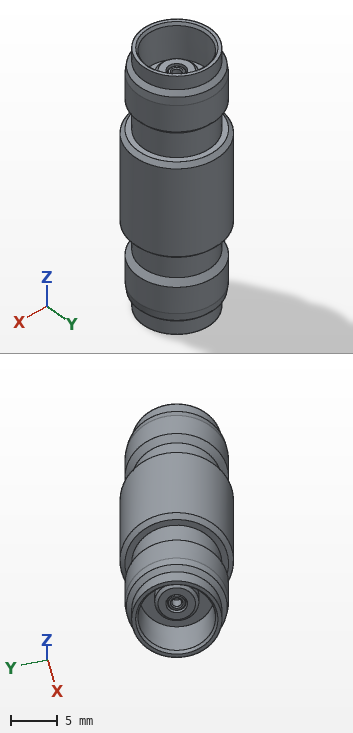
import cadquery as cq

total_length = 35.9
half_length = total_length / 2

barrel_radius = 6.1
barrel_length = 13.3
barrel_chamfer = 0.55

neck_radius = 4.85
collar_radius = 5.55
collar_tip_radius = 5.42
collar_foot_gap = 3.4
collar_back_taper = 0.75
collar_length = 6.03
collar_front_taper = 0.57
collar_lead_length = 1.05

mouth_radius = 4.4
mouth_chamfer_length = 0.35
socket_radius = 4.15
socket_floor_radius = 4.05
socket_depth = 4.95

boss_radius = 2.37
boss_chamfer = 0.35
boss_top_depth = 3.15
boss_hole_radius = 1.15

pin_radius = 1.0
pin_chamfer = 0.1
pin_top_depth = 3.3
pin_bore_radius = 0.55
pin_bore_depth = 1.45
pin_bore_chamfer = 0.15


def turned(profile):
    """Revolve a closed (radius, z) outline about the Z axis."""
    return cq.Workplane("XZ").polyline(profile).close().revolve(360, (0, 0, 0), (0, 1, 0))


def outer_form():
    """Solid outside shape: barrel, necks and collars, with matching ends."""
    barrel_face = barrel_length / 2
    collar_foot = barrel_face + collar_foot_gap
    collar_end = collar_foot + collar_length
    lead_end = collar_end - collar_front_taper
    upper = [
        (barrel_radius, barrel_face - barrel_chamfer),
        (barrel_radius - barrel_chamfer, barrel_face),
        (neck_radius, barrel_face),
        (neck_radius, collar_foot),
        (collar_radius, collar_foot + collar_back_taper),
        (collar_radius, lead_end - collar_lead_length),
        (collar_tip_radius, lead_end),
        (neck_radius, collar_end),
        (neck_radius, half_length),
        (0, half_length),
    ]
    lower = [(radius, -z) for radius, z in reversed(upper)]
    return turned(lower + upper)


def socket():
    """Material removed from the end: chamfered mouth and a wall tapering to the floor."""
    floor = half_length - socket_depth
    return turned([
        (0, floor),
        (socket_floor_radius, floor),
        (socket_radius, half_length - mouth_chamfer_length),
        (mouth_radius, half_length),
        (0, half_length),
    ])


def boss():
    """Ring-shaped insulator with a chamfered outer edge."""
    floor = half_length - socket_depth
    top = half_length - boss_top_depth
    return turned([
        (boss_hole_radius, floor),
        (boss_radius, floor),
        (boss_radius, top - boss_chamfer),
        (boss_radius - boss_chamfer, top),
        (boss_hole_radius, top),
    ])


def pin():
    """Solid contact pin with a chamfered tip."""
    floor = half_length - socket_depth
    top = half_length - pin_top_depth
    return turned([
        (0, floor),
        (pin_radius, floor),
        (pin_radius, top - pin_chamfer),
        (pin_radius - pin_chamfer, top),
        (0, top),
    ])


def pin_bore():
    """Blind countersunk bore in the tip of the pin."""
    top = half_length - pin_top_depth
    return turned([
        (0, top - pin_bore_depth),
        (pin_bore_radius, top - pin_bore_depth),
        (pin_bore_radius, top - pin_bore_chamfer),
        (pin_bore_radius + pin_bore_chamfer, top),
        (0, top),
    ])


socket_contents = boss().union(pin().cut(pin_bore()))
socket_space = socket().cut(socket_contents)

result = outer_form().cut(socket_space).cut(socket_space.mirror("XY"))